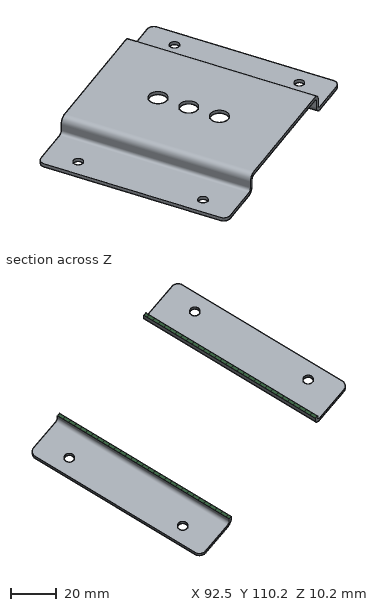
import cadquery as cq

width = 92.46
length = 110.24
height = 10.16
thickness = 1.778
inner_bend_radius = 1.63
corner_radius = 3.25

front_flange_reach = 22.87
rear_flange_reach = 21.0

mount_hole_diameter = 4.6
mount_hole_pitch_x = 60.96
mount_hole_pitch_y = 94.0

deck_hole_diameter = 8.73
deck_hole_pitch = 15.0
deck_hole_count = 3

outer_bend_radius = inner_bend_radius + thickness
front_edge = -length / 2
rear_edge = length / 2
front_wall = front_edge + front_flange_reach
rear_wall = rear_edge - rear_flange_reach


def make_bent_sheet():
    """Extrude the hat-shaped section along X and round its four bends."""
    section = [
        (front_edge, 0),
        (front_wall + thickness, 0),
        (front_wall + thickness, height - thickness),
        (rear_wall - thickness, height - thickness),
        (rear_wall - thickness, 0),
        (rear_edge, 0),
        (rear_edge, thickness),
        (rear_wall, thickness),
        (rear_wall, height),
        (front_wall, height),
        (front_wall, thickness),
        (front_edge, thickness),
    ]
    sheet = cq.Workplane("YZ").polyline(section).close().extrude(width / 2, both=True)

    outer_bends = [
        (front_wall, height),
        (rear_wall, height),
        (front_wall + thickness, 0),
        (rear_wall - thickness, 0),
    ]
    inner_bends = [
        (front_wall + thickness, height - thickness),
        (rear_wall - thickness, height - thickness),
        (front_wall, thickness),
        (rear_wall, thickness),
    ]
    sheet = round_bends(sheet, outer_bends, outer_bend_radius)
    return round_bends(sheet, inner_bends, inner_bend_radius)


def round_bends(sheet, bend_corners, radius):
    """Fillet the X-direction edge at each (y, z) corner."""
    for y, z in bend_corners:
        bend_edge = cq.selectors.NearestToPointSelector((0, y, z))
        sheet = sheet.edges("|X").edges(bend_edge).fillet(radius)
    return sheet


def round_flange_corners(sheet):
    """Round the four outside corners of the flanges."""
    sheet = sheet.faces("<Y").edges("|Z").fillet(corner_radius)
    return sheet.faces(">Y").edges("|Z").fillet(corner_radius)


def make_mount_holes():
    """Cutters for the four screw holes through the flanges."""
    return (
        cq.Workplane("XY")
        .rarray(mount_hole_pitch_x, mount_hole_pitch_y, 2, 2)
        .circle(mount_hole_diameter / 2)
        .extrude(height)
    )


def make_deck_holes():
    """Cutters for the row of holes through the middle of the deck."""
    return (
        cq.Workplane("XY")
        .rarray(deck_hole_pitch, deck_hole_pitch, deck_hole_count, 1)
        .circle(deck_hole_diameter / 2)
        .extrude(height)
    )


result = round_flange_corners(make_bent_sheet()).cut(make_mount_holes()).cut(make_deck_holes())